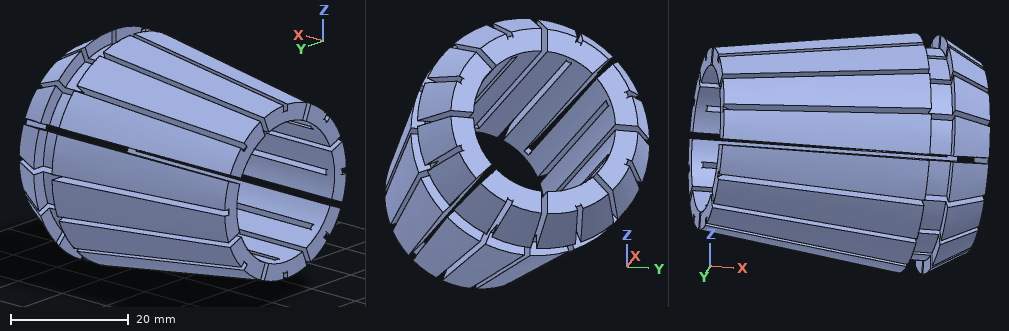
import cadquery as cq
import math

length = 46.0
rim_radius = 41.0 / 2
bore_radius = 12.5
body_taper = math.radians(8)
nose_taper = math.radians(30)

groove_start = 34.9
groove_end = 39.05
groove_radius = 18.1

slots_per_set = 8
slot_width = 1.0
slot_pitch = 360 / slots_per_set
cut_overrun = 2.3
cut_radius = rim_radius + cut_overrun


tail_bridge_radius = 14.5
tail_bridge_slope = math.radians(45)

nose_bridge_radius = 15.82
nose_bridge_slope = math.pi / 2 - nose_taper

tail_radius = rim_radius - groove_start * math.tan(body_taper)
nose_radius = rim_radius - (length - groove_end) * math.tan(nose_taper)


def collet_blank():
    """Revolved sleeve with both cones, the groove and the straight bore."""
    return (
        cq.Workplane("XY")
        .moveTo(0, bore_radius)
        .lineTo(0, tail_radius)
        .lineTo(groove_start, rim_radius)
        .lineTo(groove_start, groove_radius)
        .lineTo(groove_end, groove_radius)
        .lineTo(groove_end, rim_radius)
        .lineTo(length, nose_radius)
        .lineTo(length, bore_radius)
        .close()
        .revolve(360, (0, 0, 0), (1, 0, 0))
    )


def slot_cutter(profile):
    """Flat cutter of slot width from (x, radius) points."""
    return cq.Workplane("XZ").polyline(profile).close().extrude(slot_width / 2, both=True)


def cut_slot_set(body, profile, first_angle):
    """Cut one slot set around the X axis."""
    cutter = slot_cutter(profile)
    for index in range(slots_per_set):
        angle = first_angle + index * slot_pitch
        body = body.cut(cutter.rotate((0, 0, 0), (1, 0, 0), angle))
    return body


def bridge_reach(bridge_radius, slope, radius):
    """Distance inward from the end plane to the bridge face at the given radius."""
    return (bridge_radius - radius) / math.tan(slope)


nose_slot_profile = [
    (bridge_reach(tail_bridge_radius, tail_bridge_slope, 0), 0),
    (length + cut_overrun, 0),
    (length + cut_overrun, cut_radius),
    (bridge_reach(tail_bridge_radius, tail_bridge_slope, cut_radius), cut_radius),
]

tail_slot_profile = [
    (-cut_overrun, 0),
    (length - bridge_reach(nose_bridge_radius, nose_bridge_slope, 0), 0),
    (length - bridge_reach(nose_bridge_radius, nose_bridge_slope, cut_radius), cut_radius),
    (-cut_overrun, cut_radius),
]

slotted = cut_slot_set(collet_blank(), nose_slot_profile, 0)
result = cut_slot_set(slotted, tail_slot_profile, slot_pitch / 2)